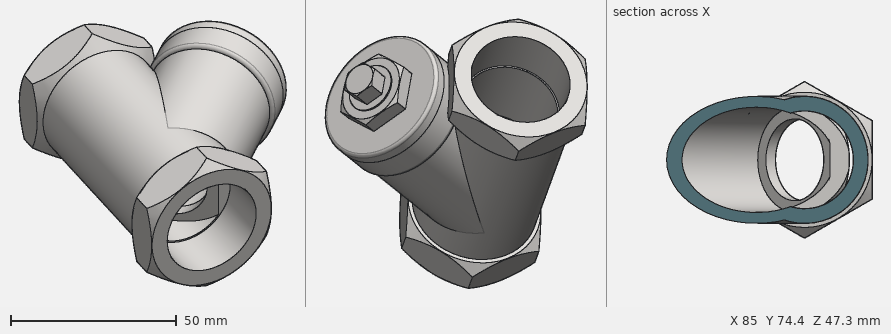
import cadquery as cq
import math


run_length = 85
run_radius = 19.2
end_hex_flats = 41.0
end_hex_length = 12.9
end_hex_face_radius = 20.4
bore_radius = 14.7
thread_radius = 15.2
thread_depth = 16.7
inlet_depth = 43.5

branch_x = 57.0
branch_angle = 45
branch_radius = run_radius
branch_bore_radius = 15.8
seat_radius = 12.3
seat_thickness = 4.2
collar_radius = end_hex_flats / 2
collar_length = 9.9
collar_fillet = 1.3
branch_length = 52.2

cap_flange_thickness = 4.1
cap_fillet = 1.0
cap_hex_flats = 21.0
cap_hex_height = 5.0
cap_hex_face_radius = 10.3

plug_flange_radius = 7.6
plug_flange_thickness = 0.5
plug_hex_flats = 9.95
plug_hex_height = 5.9
plug_hex_face_radius = 4.9

head_turn = -11
head_chamfer_angle = 20

branch_axis = cq.Vector(-math.cos(math.radians(branch_angle)), math.sin(math.radians(branch_angle)), 0)


def corner_radius(flats):
    """Radius of the circle through the corners of a hexagon of the given width across flats."""
    return flats / math.sqrt(3)


def branch_plane(distance):
    """Plane square to the branch axis, with its local X direction along global Z."""
    origin = cq.Vector(branch_x, 0, 0) + branch_axis * distance
    return cq.Plane(origin=origin, xDir=(0, 0, 1), normal=branch_axis)


def branch_cylinder(start, end, radius):
    return cq.Workplane(branch_plane(start)).circle(radius).extrude(end - start)


def run_cylinder(start, end, radius):
    return cq.Workplane("YZ", origin=(start, 0, 0)).circle(radius).extrude(end - start)


def end_hex(start, outline):
    """Hexagon on the run axis with corners up and down, trimmed by a turned (x, radius) outline."""
    corner_up = cq.Plane(origin=(start, 0, 0), xDir=(0, 0, 1), normal=(1, 0, 0))
    hexagon = (
        cq.Workplane(corner_up)
        .polygon(6, 2 * corner_radius(end_hex_flats))
        .extrude(end_hex_length)
    )
    turned = cq.Workplane("XY").polyline(outline).close().revolve(360, (0, 0, 0), (1, 0, 0))
    return hexagon.intersect(turned)


def inlet_hex():
    """The inner chamfer runs down at 45 degrees as far as the run's surface."""
    corner = corner_radius(end_hex_flats)
    outline = [
        (0, 0),
        (0, end_hex_face_radius),
        (corner - end_hex_face_radius, corner),
        (end_hex_length - (corner - run_radius), corner),
        (end_hex_length, run_radius),
        (end_hex_length, 0),
    ]
    return end_hex(0, outline)


def outlet_hex():
    """Both sides carry the same 45 degree corner chamfer."""
    corner = corner_radius(end_hex_flats)
    chamfer = corner - end_hex_face_radius
    start = run_length - end_hex_length
    outline = [
        (start, 0),
        (start, end_hex_face_radius),
        (start + chamfer, corner),
        (run_length - chamfer, corner),
        (run_length, end_hex_face_radius),
        (run_length, 0),
    ]
    return end_hex(start, outline)


def hex_head(start, flats, height, face_radius):
    """Hexagon head on the branch axis with its outer corners chamfered."""
    corner = corner_radius(flats)
    chamfer_height = (corner - face_radius) * math.tan(math.radians(head_chamfer_angle))
    hexagon = (
        cq.Workplane(branch_plane(start))
        .transformed(rotate=(0, 0, head_turn))
        .polygon(6, 2 * corner)
        .extrude(height)
    )
    outline = [
        (0, 0),
        (corner, 0),
        (corner, height - chamfer_height),
        (face_radius, height),
        (0, height),
    ]
    turning_plane = cq.Plane(
        origin=branch_plane(start).origin,
        xDir=(0, 0, 1),
        normal=cq.Vector(0, 0, 1).cross(branch_axis),
    )
    turned = cq.Workplane(turning_plane).polyline(outline).close().revolve(360, (0, 0, 0), (0, 1, 0))
    return hexagon.intersect(turned)


def make_body():
    run = run_cylinder(0, run_length, run_radius).union(inlet_hex()).union(outlet_hex())
    run = run.cut(run_cylinder(inlet_depth, run_length, bore_radius))

    collar = branch_cylinder(branch_length - collar_length, branch_length, collar_radius)
    collar_underside = cq.selectors.DirectionMinMaxSelector(branch_axis, False)
    collar = collar.faces(collar_underside).edges().fillet(collar_fillet)
    branch = branch_cylinder(0, branch_length, branch_radius).union(collar)

    body = run.union(branch)
    body = body.cut(branch_cylinder(seat_thickness, branch_length, branch_bore_radius))
    body = body.cut(branch_cylinder(0, seat_thickness, seat_radius))
    body = body.cut(run_cylinder(0, inlet_depth, bore_radius))
    body = body.cut(run_cylinder(0, thread_depth, thread_radius))
    return body.cut(run_cylinder(run_length - thread_depth, run_length, thread_radius))


def make_cap():
    flange_top = branch_length + cap_flange_thickness
    flange = branch_cylinder(branch_length, flange_top, collar_radius)
    flange_face = cq.selectors.DirectionMinMaxSelector(branch_axis, True)
    flange = flange.faces(flange_face).edges().fillet(cap_fillet)
    return flange.union(hex_head(flange_top, cap_hex_flats, cap_hex_height, cap_hex_face_radius))


def make_plug():
    start = branch_length + cap_flange_thickness + cap_hex_height
    flange_top = start + plug_flange_thickness
    flange = branch_cylinder(start, flange_top, plug_flange_radius)
    return flange.union(hex_head(flange_top, plug_hex_flats, plug_hex_height, plug_hex_face_radius))


body = make_body()
cap = make_cap()
plug = make_plug()

result = cq.Compound.makeCompound([body.solids().val(), cap.solids().val(), plug.solids().val()])